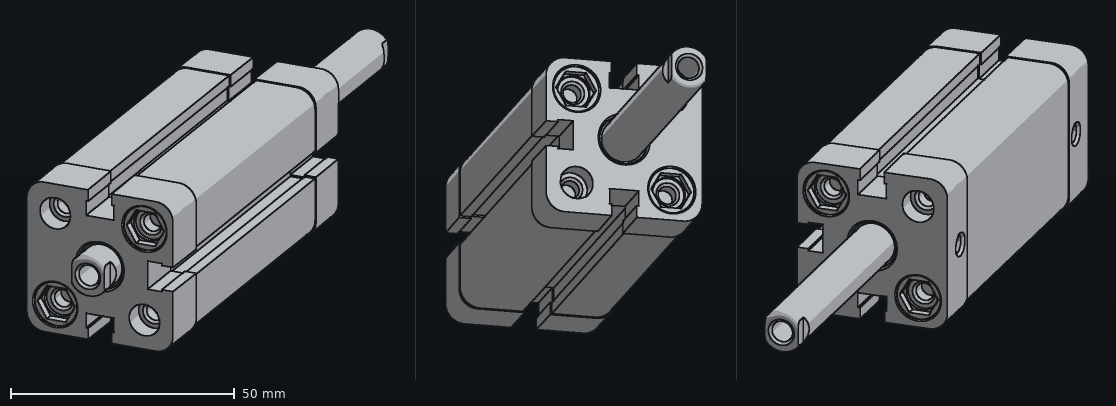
import cadquery as cq
import math

TOTAL_LENGTH = 150.1
BODY_LENGTH = 87.4
CAP_LENGTH = 12.1
FRONT_ROD_LENGTH = 6.35
REAR_ROD_LENGTH = TOTAL_LENGTH - BODY_LENGTH - FRONT_ROD_LENGTH
BARREL_LENGTH = BODY_LENGTH - 2 * CAP_LENGTH

CAP_WIDTH = 36.3
CAP_DRAFT_ANGLE = 0.5
CAP_CORNER_RADIUS = 4.4
BARREL_WIDTH = 35.8
BARREL_CORNER_RADIUS = 4.5

CAP_SLOT_MOUTH_WIDTH = 5.8
CAP_SLOT_WIDTH = 6.8
SLOT_LIP_HALF = 15.3
SLOT_FLOOR_HALF = 11.8
BARREL_SLOT_MOUTH_WIDTH = 6.6
BARREL_SLOT_WIDTH = 7.6

HOLE_OFFSET = 11.0
MOUNT_BORE_DIAMETER = 7.5
MOUNT_BORE_DEPTH = 5.0
THREAD_DIAMETER = 4.13
THREAD_MOUTH_DIAMETER = 5.4
THREAD_DEPTH = 4.0
SCREW_RECESS_DIAMETER = 11.1
SCREW_HEAD_DIAMETER = 10.48
SCREW_RECESS_DEPTH = 0.5
HEX_ACROSS_FLATS = 8.0
HEX_DEPTH = 2.5
SCREW_BORE_DEPTH = 3.5

PORT_DIAMETER = 4.13
PORT_MOUTH_DIAMETER = 5.6
PORT_DEPTH = CAP_WIDTH / 2
PORT_FROM_END = 7.8

ROD_DIAMETER = 10.0
ROD_TIP_FILLET = 1.0
ROD_FLAT_WIDTH = 8.0
ROD_FLAT_LENGTH = 3.3
ROD_THREAD_DIAMETER = 4.92
ROD_THREAD_MOUTH_DIAMETER = 6.2
ROD_THREAD_DEPTH = 12.0
SEAL_RECESS_DIAMETER = 11.1
SEAL_RECESS_MOUTH_DIAMETER = 12.0
SEAL_RECESS_DEPTH = 1.0

BARREL_START = CAP_LENGTH
ROD_START = -FRONT_ROD_LENGTH
ROD_END = BODY_LENGTH + REAR_ROD_LENGTH


def front_plane(y):
    """Workplane facing +Y at the given y, with local x along X and local y along -Z."""
    return cq.Workplane(cq.Plane(origin=(0, y, 0), xDir=(1, 0, 0), normal=(0, 1, 0)))


def box(x_min, x_max, y_min, y_max, z_min, z_max):
    size = (x_max - x_min, y_max - y_min, z_max - z_min)
    return cq.Workplane("XY").box(*size, centered=False).translate((x_min, y_min, z_min))


def cylinder(x, z, y, diameter, depth):
    return front_plane(y).center(x, -z).circle(diameter / 2).extrude(depth)


def countersunk_hole(x, z, y, diameter, mouth_diameter, depth):
    """Blind hole going in +Y with a 45 degree countersunk mouth."""
    hole = cylinder(x, z, y, diameter, depth)
    cone = cq.Solid.makeCone(
        mouth_diameter / 2,
        diameter / 2,
        (mouth_diameter - diameter) / 2,
        cq.Vector(x, y, z),
        cq.Vector(0, 1, 0),
    )
    return hole.union(cq.Workplane(cone))


def slots(y_min, length, mouth_width, width):
    """Cutters for the undercut slots on the +X, +Z and -Z sides."""
    y_max = y_min + length
    mouth = box(SLOT_LIP_HALF, CAP_WIDTH, y_min, y_max, -mouth_width / 2, mouth_width / 2)
    channel = box(SLOT_FLOOR_HALF, SLOT_LIP_HALF, y_min, y_max, -width / 2, width / 2)
    side_slot = mouth.union(channel)
    cutters = cq.Workplane("XY")
    for angle in (-90, 0, 90):
        cutters = cutters.union(side_slot.rotate((0, 0, 0), (0, 1, 0), angle))
    return cutters


def mount_hole(x, z, bore_depth):
    """Plain bore with a countersunk thread hole in its floor."""
    bore = cylinder(x, z, 0, MOUNT_BORE_DIAMETER, bore_depth)
    thread = countersunk_hole(
        x, z, bore_depth, THREAD_DIAMETER, THREAD_MOUTH_DIAMETER, THREAD_DEPTH
    )
    return bore.union(thread)


def screw_socket(x, z):
    """Countersunk recess and hexagon socket at the mouth of a mounting hole."""
    recess = countersunk_hole(
        x, z, 0, SCREW_HEAD_DIAMETER, SCREW_RECESS_DIAMETER, SCREW_RECESS_DEPTH
    )
    hex_corner_diameter = HEX_ACROSS_FLATS / math.cos(math.pi / 6)
    hexagon = front_plane(0).center(x, -z).polygon(6, hex_corner_diameter).extrude(HEX_DEPTH)
    return recess.union(hexagon).union(mount_hole(x, z, SCREW_BORE_DEPTH))


def air_port():
    face = CAP_WIDTH / 2
    hole = countersunk_hole(0, 0, 0, PORT_DIAMETER, PORT_MOUTH_DIAMETER, PORT_DEPTH)
    return hole.rotate((0, 0, 0), (0, 0, 1), -90).translate((-face, PORT_FROM_END, 0))


def make_cap():
    """Front cap: drafted from the barrel joint down to the outer face at y = 0."""
    outline = cq.Sketch().rect(CAP_WIDTH, CAP_WIDTH).vertices().fillet(CAP_CORNER_RADIUS)
    joint_plane = cq.Plane(origin=(0, CAP_LENGTH, 0), xDir=(1, 0, 0), normal=(0, -1, 0))
    cap = cq.Workplane(joint_plane).placeSketch(outline).extrude(CAP_LENGTH, taper=CAP_DRAFT_ANGLE)
    cap = cap.cut(slots(0, CAP_LENGTH, CAP_SLOT_MOUTH_WIDTH, CAP_SLOT_WIDTH))
    cap = cap.cut(cylinder(0, 0, 0, ROD_DIAMETER, CAP_LENGTH))
    seal_recess = countersunk_hole(
        0, 0, 0, SEAL_RECESS_DIAMETER, SEAL_RECESS_MOUTH_DIAMETER, SEAL_RECESS_DEPTH
    )
    cap = cap.cut(seal_recess)
    for side in (-1, 1):
        cap = cap.cut(mount_hole(side * HOLE_OFFSET, -side * HOLE_OFFSET, MOUNT_BORE_DEPTH))
        cap = cap.cut(screw_socket(side * HOLE_OFFSET, side * HOLE_OFFSET))
    return cap.cut(air_port())


def make_barrel():
    """Extruded profile clamped between the caps, bored for the rod."""
    outline = cq.Sketch().rect(BARREL_WIDTH, BARREL_WIDTH).vertices().fillet(BARREL_CORNER_RADIUS)
    barrel = front_plane(BARREL_START).placeSketch(outline).extrude(BARREL_LENGTH)
    barrel = barrel.cut(slots(BARREL_START, BARREL_LENGTH, BARREL_SLOT_MOUTH_WIDTH, BARREL_SLOT_WIDTH))
    return barrel.cut(cylinder(0, 0, BARREL_START, ROD_DIAMETER, BARREL_LENGTH))


def rod_end_cutters():
    """Two wrench flats with 45 degree run-outs, and the threaded hole, for the front rod end."""
    flat_half = ROD_FLAT_WIDTH / 2
    rod_radius = ROD_DIAMETER / 2
    flat_end = ROD_START + ROD_FLAT_LENGTH
    flat = (
        cq.Workplane("XY")
        .workplane(offset=-rod_radius)
        .moveTo(flat_half, ROD_START)
        .lineTo(flat_half, flat_end)
        .lineTo(rod_radius, flat_end + rod_radius - flat_half)
        .lineTo(rod_radius, ROD_START)
        .close()
        .extrude(ROD_DIAMETER)
    )
    thread = countersunk_hole(
        0, 0, ROD_START, ROD_THREAD_DIAMETER, ROD_THREAD_MOUTH_DIAMETER, ROD_THREAD_DEPTH
    )
    return flat.union(flat.mirror("YZ")).union(thread)


def make_rod():
    """One rod through the whole cylinder, with the same end form at both ends."""
    rod = cylinder(0, 0, ROD_START, ROD_DIAMETER, ROD_END - ROD_START)
    rod = rod.faces("<Y or >Y").edges().fillet(ROD_TIP_FILLET)
    front_cutters = rod_end_cutters()
    rod_middle = (0, (ROD_START + ROD_END) / 2, 0)
    rear_cutters = front_cutters.mirror("XZ", rod_middle)
    return rod.cut(front_cutters).cut(rear_cutters)


body_middle = (0, BODY_LENGTH / 2, 0)
front_cap = make_cap()
rear_cap = front_cap.mirror("XZ", body_middle)
barrel = make_barrel()
rod = make_rod()

result = cq.Compound.makeCompound([front_cap.val(), barrel.val(), rear_cap.val(), rod.val()])